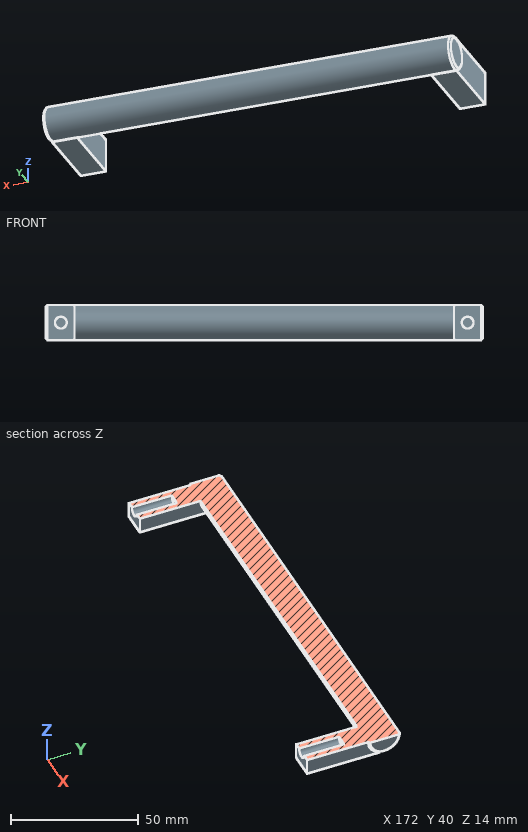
import cadquery as cq

bar_length = 172.0
bar_diameter = 14.0
total_depth = 40.0
bar_radius = bar_diameter / 2
end_chamfer = 0.9

leg_width = 10.7
leg_inset = 0.7
leg_front = bar_radius - total_depth
leg_seat = -1.9
leg_center = bar_length / 2 - leg_inset - leg_width / 2

hole_diameter = 4.6
hole_depth = 17.2


def make_bar():
    """Round grip bar along X with chamfered ends."""
    bar = cq.Workplane("YZ").circle(bar_radius).extrude(bar_length)
    return bar.faces("<X or >X").chamfer(end_chamfer).translate((-bar_length / 2, 0, 0))


def make_leg(x):
    """Rectangular leg from the mounting face into the bar."""
    return (
        cq.Workplane("XY")
        .box(leg_width, leg_seat - leg_front, bar_diameter)
        .translate((x, (leg_seat + leg_front) / 2, 0))
    )


def make_screw_hole(x):
    """Blind hole running from the mounting face into the leg."""
    hole = cq.Workplane("XZ").circle(hole_diameter / 2).extrude(-hole_depth)
    return hole.translate((x, leg_front, 0))


result = make_bar()
for x in (-leg_center, leg_center):
    result = result.union(make_leg(x)).cut(make_screw_hole(x))